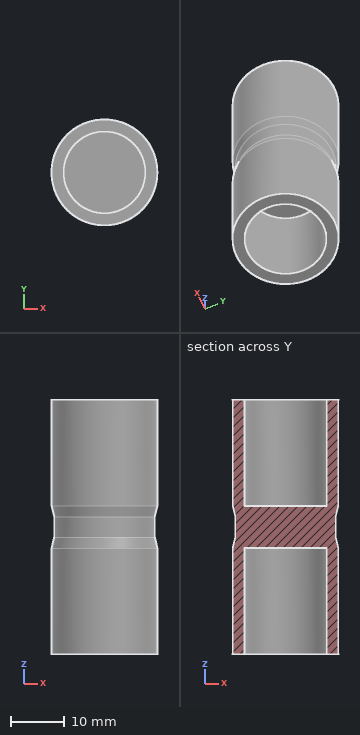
import cadquery as cq

length = 48.0
outer_diameter = 20.0
bore_diameter = 15.4

neck_diameter = 19.0
neck_length = 3.85
end_length = 20.0

socket_depth = end_length

outer_radius = outer_diameter / 2
neck_radius = neck_diameter / 2
middle = length / 2
neck_bottom = middle - neck_length / 2
neck_top = middle + neck_length / 2


def waisted_body():
    """Solid of revolution about Z, standing on Z = 0."""
    return (
        cq.Workplane("XZ")
        .moveTo(0, 0)
        .lineTo(outer_radius, 0)
        .lineTo(outer_radius, end_length)
        .lineTo(neck_radius, neck_bottom)
        .lineTo(neck_radius, neck_top)
        .lineTo(outer_radius, length - end_length)
        .lineTo(outer_radius, length)
        .lineTo(0, length)
        .close()
        .revolve(360, (0, 0, 0), (0, 1, 0))
    )


def socket(bottom):
    """Cylinder removed for one blind socket, starting at the given height."""
    return cq.Workplane("XY").workplane(offset=bottom).circle(bore_diameter / 2).extrude(socket_depth)


result = waisted_body()
for socket_bottom in (0, length - socket_depth):
    result = result.cut(socket(socket_bottom))